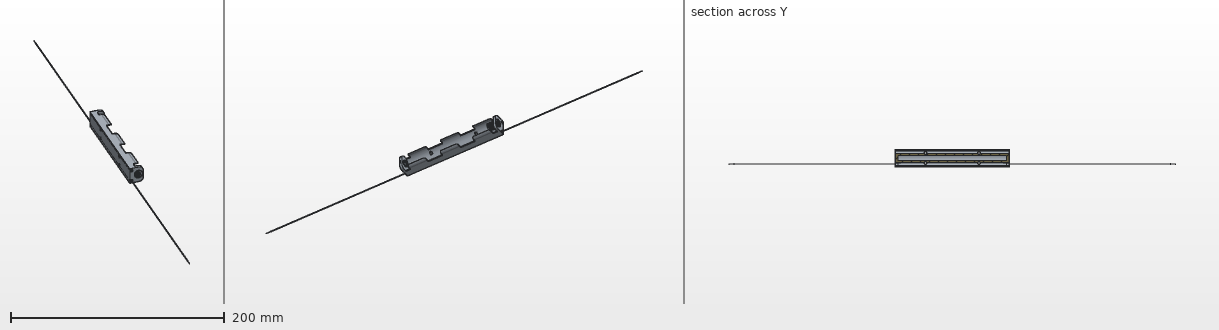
import cadquery as cq


total_length = 417.8
housing_length = 107.0
housing_width = 16.2
housing_height = 13.7
end_wall = 2.8
end_corner_radius = 4.5

cell_axis_y = 8.8
cell_bore_radius = 7.25
side_round_start = 8.5
side_round_radius = 5.0
low_wall_height = 6.3

tab_height = 11.8
tab_length = 20.0
tab_pitch = 36.0
tab_corner_radius = 2.0

mount_hole_diameter = 2.4
mount_spacing_x = 50.0
mount_spacing_z = 9.4

lead_y = 1.9
lead_offset_z = 5.6
lead_hole_diameter = 2.5
lead_depth = end_wall
insulation_diameter = 0.7
conductor_diameter = 0.4
stripped_length = 5.0

contact_y = 8.2
recess_y = cell_axis_y
recess_diameter = 8.0
recess_depth = 0.8
rivet_head_diameter = 5.2
rivet_head_height = 0.5
rivet_diameter = 4.0
rivet_bore_diameter = 2.0
rivet_bore_depth = 1.4
contact_plate_diameter = 6.8
contact_plate_thickness = 0.6

spring_radius = 3.3
spring_wire_diameter = 1.2
spring_pitch = 2.5
spring_turns = 3
spring_start_gap = 0.2

half_length = housing_length / 2
inner_half_length = half_length - end_wall
inner_length = 2 * inner_half_length
lead_inner_x = half_length - lead_depth
lead_length = total_length / 2 - lead_inner_x


def rod(x_start, length, y, z, diameter):
    """Round bar along X from x_start; a negative length runs toward -X."""
    return cq.Workplane("YZ", origin=(x_start, y, z)).circle(diameter / 2).extrude(length)


def block(length, height):
    """Block of the housing's width, centred in X and Z, standing on Y = 0."""
    return cq.Workplane("XY").box(length, height, housing_width, centered=(True, False, True))


def make_end_walls():
    """Both end walls, with rounded corners on the open side."""
    walls = block(housing_length, housing_height).edges("|X and >Y").fillet(end_corner_radius)
    return walls.cut(block(inner_length, housing_height))


def make_wall_outline():
    """What the side walls keep: a low wall and three taller tabs with rounded corners."""
    outline = block(inner_length, low_wall_height)
    for index in (-1, 0, 1):
        tab = block(tab_length, tab_height).edges("|Z and >Y").fillet(tab_corner_radius)
        outline = outline.union(tab.translate((index * tab_pitch, 0, 0)))
    return outline


def make_cradle():
    """Floor and side walls around the cells, with the tabs curving inward over them."""
    rounded = block(inner_length, side_round_start + side_round_radius)
    rounded = rounded.edges("|X and >Y").fillet(side_round_radius)
    cell_bore = rod(-inner_half_length, inner_length, cell_axis_y, 0, 2 * cell_bore_radius)
    return rounded.intersect(make_wall_outline()).cut(cell_bore)


def make_mount_holes():
    holes = cq.Workplane("XZ").rarray(mount_spacing_x, mount_spacing_z, 2, 2)
    return holes.circle(mount_hole_diameter / 2).extrude(-cell_axis_y)


def make_housing():
    housing = make_end_walls().union(make_cradle()).cut(make_mount_holes())
    for z in (-lead_offset_z, lead_offset_z):
        housing = housing.cut(rod(-half_length, housing_length, lead_y, z, lead_hole_diameter))
    for side in (-1, 1):
        end_x = side * half_length
        housing = housing.cut(rod(end_x, -side * recess_depth, recess_y, 0, recess_diameter))
        housing = housing.cut(rod(end_x, -side * end_wall, contact_y, 0, rivet_diameter))
    return housing


def make_plate_contact(side):
    """Hollow rivet through the end wall, with a round contact plate on the inside."""
    recess_floor_x = side * (half_length - recess_depth)
    head_face_x = recess_floor_x + side * rivet_head_height
    shank = rod(recess_floor_x, -side * (end_wall - recess_depth), contact_y, 0, rivet_diameter)
    head = rod(recess_floor_x, side * rivet_head_height, contact_y, 0, rivet_head_diameter)
    plate = rod(
        side * inner_half_length, -side * contact_plate_thickness, contact_y, 0, contact_plate_diameter
    )
    bore = rod(head_face_x, -side * rivet_bore_depth, contact_y, 0, rivet_bore_diameter)
    return shank.union(head).union(plate).cut(bore)


def make_spring_contact():
    """Riveted contact at the -X end with a coil spring joined to its plate."""
    start_x = -inner_half_length + contact_plate_thickness + spring_start_gap
    helix = cq.Wire.makeHelix(
        spring_pitch,
        spring_pitch * spring_turns,
        spring_radius,
        cq.Vector(start_x, contact_y, 0),
        cq.Vector(1, 0, 0),
    )
    section_plane = cq.Plane(helix.startPoint(), xDir=(1, 0, 0), normal=helix.tangentAt(0))
    section = cq.Workplane(section_plane).circle(spring_wire_diameter / 2)
    coil = section.sweep(cq.Workplane(helix), isFrenet=True)
    return make_plate_contact(-1).union(coil)


def make_conductor(side):
    """Bare wire from inside the lead hole to the far end."""
    return rod(side * lead_inner_x, side * lead_length, lead_y, -lead_offset_z, conductor_diameter)


def make_insulation(side):
    """Sleeve around the conductor, which leaves the stripped end bare."""
    length = lead_length - stripped_length
    sleeve = rod(side * lead_inner_x, side * length, lead_y, -lead_offset_z, insulation_diameter)
    return sleeve.cut(make_conductor(side))


housing = make_housing()
spring_contact = make_spring_contact()
plate_contact = make_plate_contact(1)
insulations = [make_insulation(side) for side in (-1, 1)]
conductors = [make_conductor(side) for side in (-1, 1)]

result = cq.Compound.makeCompound(
    [body.solids().val() for body in (housing, spring_contact, plate_contact, *insulations, *conductors)]
)